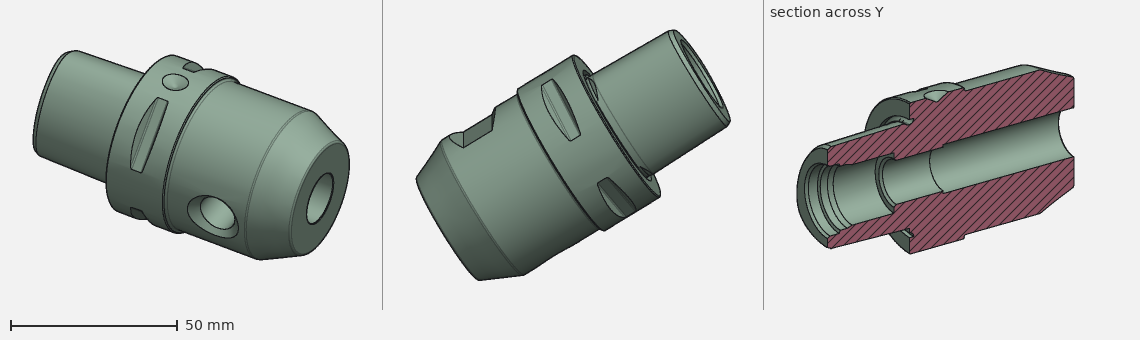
import cadquery as cq
import math

length = 90.0
collar_start = 30.0
collar_end = 50.0
collar_middle = (collar_start + collar_end) / 2
nose_start = 77.6
side_hole_x = 66.4

collar_radius = 25.0
body_radius = 23.8
nose_end_radius = 18.1
root_fillet = 0.6
nose_start_fillet = 1.35
nose_end_fillet = 0.8
collar_chamfer = 0.4

lobe_depth = 2.2
section_points = 72
shank_end = 27.7
shank_tip_radius = 16.8
taper_per_length = 1 / 40
tip_chamfer_length = 1.4
tip_chamfer_height = 0.7
neck_radius = 17.9
neck_cone_radius = 18.7
neck_cone_end = 29.25
groove_depth = 1.5
groove_inner_radius = neck_radius

mouth_radius = 12.015
entry_radius = 11.4
entry_chamfer = 1.0
entry_end = 4.3
step_radius = 10.485
step_start = 4.7
step_end = 7.3
thread_radius = 9.9
thread_start = 9.0
thread_end = 24.3
passage_radius = 7.2
tool_bore_radius = 8.0
tool_bore_start = 42.3
tool_bore_mouth_radius = 8.235
tool_bore_chamfer = 0.3
passage_chamfer = 0.8

side_hole_radius = 5.9
sink_radius = 8.8
notch_floor_width = 10.2
notch_depth = 3.1
dimple_radius = 4.05
dimple_depth = 2.3
grip_floor_width = 3.8
grip_mouth_width = 6.6
grip_floor_distance = 22.2
grip_floor_fillet = 0.5

overshoot = 0.9


def revolve_about_axis(points):
    """Turn a closed (x, radius) outline about the X axis."""
    return cq.Workplane("XY").polyline(points).close().revolve(360, (0, 0, 0), (1, 0, 0))


def shank_section(x, mean_radius):
    """Three-lobed wire at station x, with one lobe pointing to +Z."""

    def lobed_point(turn):
        angle = 2 * math.pi * turn
        across_offset = lobe_depth * (math.sin(2 * angle) + math.sin(4 * angle) / 2)
        up_offset = lobe_depth * (math.cos(2 * angle) - math.cos(4 * angle) / 2)
        across = mean_radius * math.sin(angle) - across_offset
        up = mean_radius * math.cos(angle) + up_offset
        return (across, up)

    section = cq.Workplane("YZ", origin=(x, 0, 0)).parametricCurve(lobed_point, N=section_points)
    return section.wires().val()


def make_shank():
    """Tapered lobed shank with a chamfered tip and a round neck at the collar."""
    shank_buried_end = collar_start + overshoot
    shank_root_radius = shank_tip_radius + shank_end * taper_per_length
    chamfer_top_radius = shank_tip_radius + tip_chamfer_length * taper_per_length
    stations = [
        (0, shank_tip_radius - tip_chamfer_height),
        (tip_chamfer_length, chamfer_top_radius),
        (shank_end, shank_root_radius),
        (shank_buried_end, shank_root_radius),
    ]
    sections = [shank_section(x, radius) for x, radius in stations]
    shank = cq.Workplane(cq.Solid.makeLoft(sections, True))
    neck_envelope = revolve_about_axis([
        (-overshoot, 0),
        (-overshoot, collar_radius),
        (shank_end, collar_radius),
        (shank_end, neck_cone_radius),
        (neck_cone_end, neck_radius),
        (shank_buried_end, neck_radius),
        (shank_buried_end, 0),
    ])
    return shank.intersect(neck_envelope, clean=False)


def make_head():
    """Collar and cylindrical body with a conical nose."""
    collar = (
        cq.Workplane("YZ", origin=(collar_start, 0, 0))
        .circle(collar_radius)
        .extrude(collar_end - collar_start)
        .edges("%CIRCLE")
        .chamfer(collar_chamfer)
    )
    fillet_center_radius = body_radius + root_fillet
    arc_reach = root_fillet * (1 - math.sqrt(0.5))
    body = (
        cq.Workplane("XY")
        .moveTo(collar_start + overshoot, 0)
        .lineTo(collar_start + overshoot, fillet_center_radius)
        .lineTo(collar_end, fillet_center_radius)
        .threePointArc(
            (collar_end + arc_reach, body_radius + arc_reach),
            (collar_end + root_fillet, body_radius),
        )
        .lineTo(nose_start, body_radius)
        .lineTo(length, nose_end_radius)
        .lineTo(length, 0)
        .close()
        .revolve(360, (0, 0, 0), (1, 0, 0))
    )
    body = body.edges(cq.NearestToPointSelector((nose_start, 0, 0))).fillet(nose_start_fillet)
    body = body.faces(">X").edges().fillet(nose_end_fillet)
    return collar.union(body)


def make_neck_groove():
    """Ring groove in the collar face: straight outer wall, concave quarter-round inner side."""
    outer_radius = groove_inner_radius + groove_depth
    arc_reach = groove_depth * math.sqrt(0.5)
    return (
        cq.Workplane("XY")
        .moveTo(collar_start, groove_inner_radius)
        .lineTo(collar_start, outer_radius)
        .lineTo(collar_start + groove_depth, outer_radius)
        .threePointArc(
            (collar_start + arc_reach, outer_radius - arc_reach),
            (collar_start, groove_inner_radius),
        )
        .close()
        .revolve(360, (0, 0, 0), (1, 0, 0))
    )


def make_bore():
    """Stepped axial bore: shank entry, thread, coolant passage and tool bore."""
    return revolve_about_axis([
        (0, 0),
        (0, mouth_radius),
        (entry_chamfer, entry_radius),
        (entry_end, entry_radius),
        (step_start, step_radius),
        (step_end, step_radius),
        (thread_start, thread_radius),
        (thread_end, thread_radius),
        (thread_end, tool_bore_radius),
        (thread_end + passage_chamfer, passage_radius),
        (tool_bore_start, passage_radius),
        (tool_bore_start, tool_bore_radius),
        (length - tool_bore_chamfer, tool_bore_radius),
        (length, tool_bore_mouth_radius),
        (length, 0),
    ])


def make_side_hole():
    """Clamp screw hole from -Y into the tool bore, with a 45 degree countersink."""
    reach = body_radius + overshoot
    sink_bottom = body_radius - (sink_radius - side_hole_radius)
    outline = [
        (0, 0),
        (side_hole_radius, 0),
        (side_hole_radius, -sink_bottom),
        (sink_radius + overshoot, -reach),
        (0, -reach),
    ]
    tool = cq.Workplane("XY").polyline(outline).close().revolve(360, (0, 0, 0), (0, 1, 0))
    return tool.translate((side_hole_x, 0, 0))


def make_flat_notch():
    """Flat-bottomed cross notch on +Y with 45 degree walls."""
    half_floor = notch_floor_width / 2
    half_mouth = half_floor + notch_depth + overshoot
    floor = body_radius - notch_depth
    mouth = body_radius + overshoot
    return (
        cq.Workplane("XY")
        .polyline([
            (side_hole_x - half_floor, floor),
            (side_hole_x + half_floor, floor),
            (side_hole_x + half_mouth, mouth),
            (side_hole_x - half_mouth, mouth),
        ])
        .close()
        .extrude(body_radius, both=True)
    )


def make_dimple():
    """Conical dimple on top of the collar."""
    return cq.Workplane(cq.Solid.makeCone(
        0,
        dimple_radius + overshoot,
        dimple_depth * (1 + overshoot / dimple_radius),
        pnt=cq.Vector(collar_middle, 0, collar_radius - dimple_depth),
        dir=cq.Vector(0, 0, 1),
    ))


def make_grip_slot(angle):
    """Trapezoidal gripper slot across the collar, its floor facing the given angle from +Z."""
    depth = collar_radius - grip_floor_distance
    slot = (
        cq.Workplane("XZ", origin=(collar_middle, 0, 0))
        .polyline([
            (-grip_floor_width / 2, grip_floor_distance),
            (grip_floor_width / 2, grip_floor_distance),
            (grip_mouth_width / 2, grip_floor_distance + depth),
            (-grip_mouth_width / 2, grip_floor_distance + depth),
        ])
        .close()
        .extrude(collar_radius, both=True)
        .edges("|Y and <Z")
        .fillet(grip_floor_fillet)
    )
    return slot.rotate((0, 0, 0), (1, 0, 0), angle)


result = make_head().cut(make_neck_groove()).union(make_shank(), clean=False)
for tool in (make_bore(), make_side_hole(), make_flat_notch(), make_dimple()):
    result = result.cut(tool, clean=False)
for slot_angle in (45, 135, 225, 315):
    result = result.cut(make_grip_slot(slot_angle), clean=False)